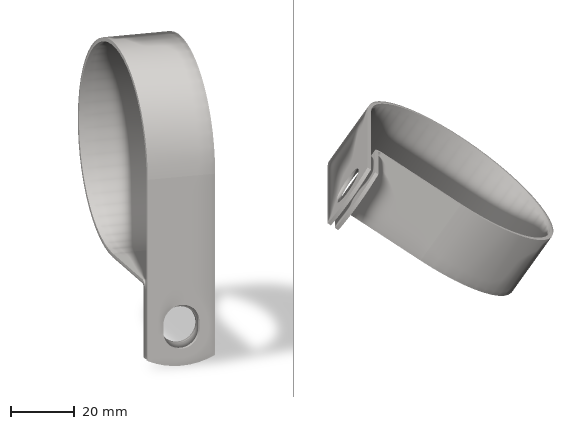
import cadquery as cq

outer_width = 70.7
height = 97.2
strap_width = 22.3
thickness = 1.3

outer_radius = outer_width / 2
inner_radius = outer_radius - thickness
foot_z = outer_radius - height

leg_gap = 1.6
bend_outer_radius = 2.5
bend_inner_radius = bend_outer_radius - thickness
short_leg_outer_x = inner_radius - leg_gap
short_leg_inner_x = short_leg_outer_x - thickness
bend_center_x = short_leg_outer_x - bend_outer_radius
bend_center_z = -inner_radius - bend_outer_radius

hole_diameter = 11.9
slot_length = 14.4
hole_height = 12.7
hole_z = foot_z + hole_height
end_sagitta = 2.5


def make_strap():
    """Bent strip: straight leg, three-quarter ring, flat shelf and short leg."""
    diagonal = 0.5 ** 0.5
    bend_mid_outer = (
        bend_center_x + bend_outer_radius * diagonal,
        bend_center_z + bend_outer_radius * diagonal,
    )
    bend_mid_inner = (
        bend_center_x + bend_inner_radius * diagonal,
        bend_center_z + bend_inner_radius * diagonal,
    )
    ring_mid_outer = (-outer_radius * diagonal, outer_radius * diagonal)
    ring_mid_inner = (-inner_radius * diagonal, inner_radius * diagonal)
    return (
        cq.Workplane("XZ")
        .moveTo(outer_radius, foot_z)
        .lineTo(outer_radius, 0)
        .threePointArc(ring_mid_outer, (0, -outer_radius))
        .lineTo(bend_center_x, -outer_radius)
        .threePointArc(bend_mid_inner, (short_leg_inner_x, bend_center_z))
        .lineTo(short_leg_inner_x, foot_z)
        .lineTo(short_leg_outer_x, foot_z)
        .lineTo(short_leg_outer_x, bend_center_z)
        .threePointArc(bend_mid_outer, (bend_center_x, -inner_radius))
        .lineTo(0, -inner_radius)
        .threePointArc(ring_mid_inner, (inner_radius, 0))
        .lineTo(inner_radius, foot_z)
        .close()
        .extrude(strap_width / 2, both=True)
    )


def make_end_envelope():
    """Side outline of the whole strap, with the arc that rounds both leg ends."""
    half_width = strap_width / 2
    return (
        cq.Workplane("YZ")
        .moveTo(-half_width, outer_radius)
        .lineTo(-half_width, foot_z + end_sagitta)
        .threePointArc((0, foot_z), (half_width, foot_z + end_sagitta))
        .lineTo(half_width, outer_radius)
        .close()
        .extrude(outer_radius, both=True)
    )


def make_short_leg_hole():
    """Round hole through the short leg."""
    return (
        cq.Workplane("YZ", origin=(short_leg_inner_x, 0, hole_z))
        .circle(hole_diameter / 2)
        .extrude(thickness)
    )


def make_long_leg_slot():
    """Vertical slot through the long leg, centred on the round hole."""
    return (
        cq.Workplane("YZ", origin=(inner_radius, 0, hole_z))
        .slot2D(slot_length, hole_diameter, 90)
        .extrude(thickness)
    )


rounded_strap = make_strap().intersect(make_end_envelope())
result = rounded_strap.cut(make_short_leg_hole()).cut(make_long_leg_slot())